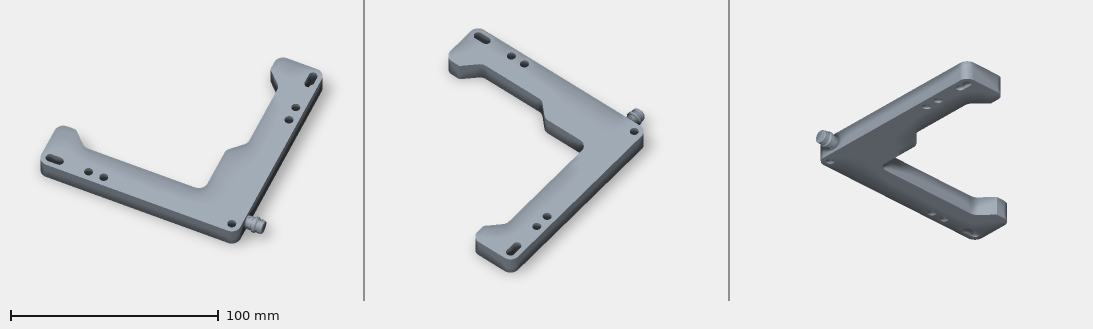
import cadquery as cq

side = 105.0
thickness = 10.0
corner_radius = 4.6
end_width = 25.0
arm_width = 17.0
end_flat = 9.2
upright_step = 43.3
slope = end_width - arm_width

hole_diameter = 4.3
hole_inset = 4.6
hole_distances = (25.0, 33.0)
slot_length = 9.2
slot_center = 7.1

plug_length = 114.0 - side
plug_y = 12.0
neck_diameter = 6.5
barrel_diameter = 6.7
flange_diameter = 8.0
tip_diameter = 6.7
ring_diameter = 7.2
barrel_start = 0.5
barrel_end = 3.2
flange_start = 4.0
flange_end = 5.2
cone_end = 5.9
ring_start = 7.0
ring_end = 7.4
tip_chamfer = 0.3
dimple_diameter = 2.0
dimple_position = 1.8
dimple_depth = 0.3


def make_plate():
    inner_x = side - end_width
    slim_x = side - arm_width
    outline = [
        (0, 0),
        (side, 0),
        (side, side),
        (inner_x, side),
        (inner_x, side - end_flat),
        (slim_x, side - end_flat - slope),
        (slim_x, upright_step + slope),
        (inner_x, upright_step),
        (inner_x, arm_width),
        (end_flat + slope, arm_width),
        (end_flat, end_width),
        (0, end_width),
    ]
    sharp_corners = (outline[4], outline[10])
    plate = cq.Workplane("XY").polyline(outline).close().extrude(thickness)
    for x, y in outline:
        if (x, y) not in sharp_corners:
            edge = cq.selectors.NearestToPointSelector((x, y, thickness / 2))
            plate = plate.edges("|Z").edges(edge).fillet(corner_radius)
    return plate


def cut_mounting_holes(plate):
    far_inset = side - hole_inset
    round_holes = [(far_inset, hole_inset)]
    for distance in hole_distances:
        round_holes.append((distance, hole_inset))
        round_holes.append((far_inset, side - distance))
    holes = cq.Workplane("XY").pushPoints(round_holes).circle(hole_diameter / 2).extrude(thickness)
    plate = plate.cut(holes)
    for x, y, angle in ((slot_center, hole_inset, 0), (far_inset, side - slot_center, 90)):
        slot = cq.Workplane("XY", origin=(x, y, 0)).slot2D(slot_length, hole_diameter, angle)
        plate = plate.cut(slot.extrude(thickness))
    return plate


def make_plug():
    neck = neck_diameter / 2
    barrel = barrel_diameter / 2
    flange = flange_diameter / 2
    tip = tip_diameter / 2
    ring = ring_diameter / 2
    profile = [
        (0, 0),
        (0, neck),
        (barrel_start, neck),
        (barrel_start, barrel),
        (barrel_end, barrel),
        (barrel_end, neck),
        (flange_start, neck),
        (flange_start, flange),
        (flange_end, flange),
        (cone_end, tip),
        (ring_start, neck),
        (ring_start, ring),
        (ring_end, ring),
        (ring_end, tip),
        (plug_length - tip_chamfer, tip),
        (plug_length, tip - tip_chamfer),
        (plug_length, 0),
    ]
    plug = cq.Workplane("XY").polyline(profile).close().revolve(360, (0, 0, 0), (1, 0, 0))
    dimple = (
        cq.Workplane("XY", origin=(dimple_position, 0, barrel - dimple_depth))
        .circle(dimple_diameter / 2)
        .extrude(flange)
    )
    for angle in range(0, 360, 90):
        plug = plug.cut(dimple.rotate((0, 0, 0), (1, 0, 0), angle))
    return plug.translate((side, plug_y, thickness / 2))


result = cut_mounting_holes(make_plate()).union(make_plug())